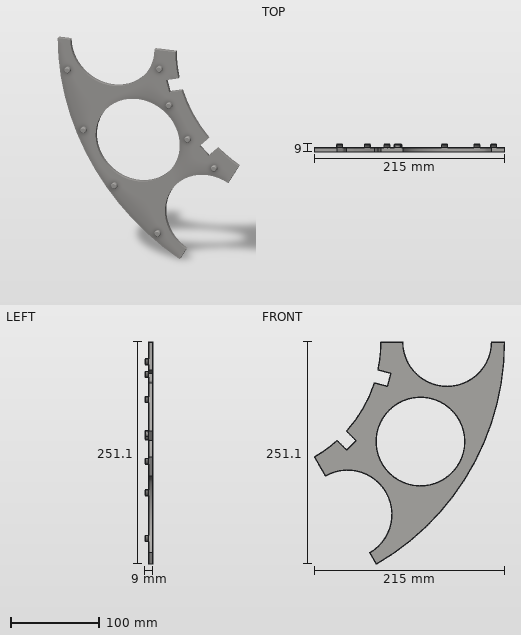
import cadquery as cq
import math

outer_radius = 290.0
inner_radius = 150.0
sector_angle = 60.0
plate_thickness = 5.0

opening_radius = 50.0
opening_pitch_radius = 225.0
opening_count = 3

notch_width = 15.0
notch_depth = 15.0
notch_floor_radius = inner_radius + notch_depth
notch_count = 2

outer_row_inset = 10.0
inner_row_inset = 20.0
stud_row_radii = (outer_radius - outer_row_inset, inner_radius + inner_row_inset)
studs_per_row = 4
stud_diameter = 7.0
stud_height = 4.0
stud_tip_chamfer = 0.8


def polar(radius, angle):
    """Point at a radius and an angle in degrees, measured downwards from +X."""
    return (radius * math.cos(math.radians(angle)), -radius * math.sin(math.radians(angle)))


def spaced_angles(count):
    """Angles at the middles of equal divisions of the sector."""
    step = sector_angle / count
    return [step * (i + 0.5) for i in range(count)]


def facing_plane(y):
    """XZ workplane at the given Y; a negative extrusion grows towards +Y."""
    return cq.Workplane("XZ", origin=(0, y, 0))


def make_sector():
    middle = sector_angle / 2
    return (
        facing_plane(0)
        .moveTo(*polar(inner_radius, 0))
        .lineTo(*polar(outer_radius, 0))
        .threePointArc(polar(outer_radius, middle), polar(outer_radius, sector_angle))
        .lineTo(*polar(inner_radius, sector_angle))
        .threePointArc(polar(inner_radius, middle), polar(inner_radius, 0))
        .close()
        .extrude(-plate_thickness)
    )


def make_openings():
    step = sector_angle / (opening_count - 1)
    centres = [polar(opening_pitch_radius, step * i) for i in range(opening_count)]
    return facing_plane(0).pushPoints(centres).circle(opening_radius).extrude(-plate_thickness)


def make_notch(angle):
    """Radial slot running from the origin out to the notch floor."""
    slot = cq.Workplane("XY").box(
        notch_floor_radius, plate_thickness, notch_width, centered=(False, False, True)
    )
    return slot.rotate((0, 0, 0), (0, 1, 0), angle)


def make_studs():
    angles = spaced_angles(studs_per_row)
    centres = [polar(radius, angle) for radius in stud_row_radii for angle in angles]
    return (
        facing_plane(plate_thickness)
        .pushPoints(centres)
        .circle(stud_diameter / 2)
        .extrude(-stud_height)
        .faces(">Y")
        .chamfer(stud_tip_chamfer)
    )


plate = make_sector().cut(make_openings())
for notch_angle in spaced_angles(notch_count):
    plate = plate.cut(make_notch(notch_angle))

result = plate.union(make_studs())